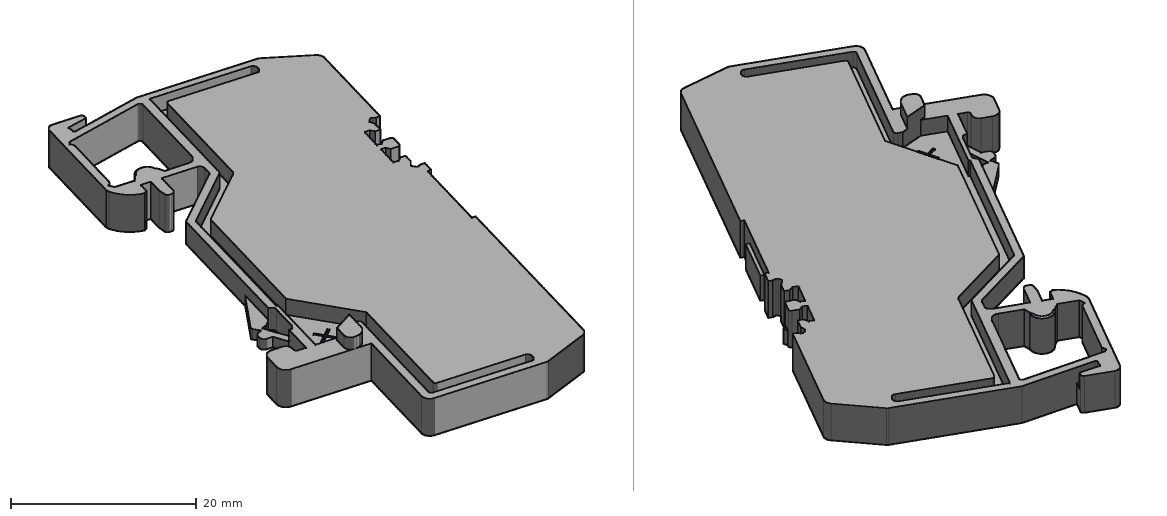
import cadquery as cq
import math

length = 64.4
width = 32.5
plate_height = 4.95
total_height = 6.6

rail_recess_height = 2.0
clip_top = 3.4
groove_floor = 2.85
cross_depth = 0.2

bevel_run = 2.7
bevel_drop = 6.25
shoulder_y = 11.3
belly_y = 4.7
belly_left = 22.75
belly_slope_height = shoulder_y - belly_y

groove_left = 0.9
groove_right = 63.45
groove_width = 1.35
groove_end_y = 25.3
groove_shoulder_y = 12.3
groove_belly_y = 5.65
island_left = groove_left + groove_width
island_right = groove_right - groove_width
island_shoulder_y = 13.6
island_belly_y = 7.2
island_belly_left = 23.7
island_belly_right = 40.5
island_slope_run = island_shoulder_y - island_belly_y

foot_top = 4.6
arm_outer_top_y = 11.2
arm_outer_end_x = 1.75
arm_slope = arm_outer_end_x / (arm_outer_top_y - foot_top)
foot_slot_width = 1.0
foot_slot_bottom = 2.2
stem_left = 13.4
stem_right = 14.4
finger_tip = 17.5
finger_top = 6.3
finger_bottom = 4.95
hook_top = 3.75
hook_right = 16.0
window_floor = 1.0
window_top = 11.15
arm_width = 1.0
bump_left = 11.45
bump_y = 5.4
bump_radius = 1.4
bump_root_height = 3.75
bump_chamfer = 0.2

post_left = 49.5
post_right = 52.2
post_bottom = 0.2
post_toe_left = 48.1
post_toe_top = 3.35
gusset_left = 47.9
gusset_top = 11.35
gusset_bottom = 8.9
gusset_slope = (post_left - gusset_left) / (gusset_top - gusset_bottom)
peg_front = 8.3
peg_back = 10.7

relief_left = 41.15
relief_right = 45.7
relief_top = 5.35

lug_x = 20.75
lug_gap_floor = 29.6
lug_top = 31.8
label_left = 27.2
label_right = 37.0
label_depth = 0.45
label_pad_left = 28.9
label_pad_right = 34.85


def prism(corners, bottom, top):
    """Extrude a closed outline; a corner (x, y, r) is rounded with radius r."""
    stretches = []
    for index, corner in enumerate(corners):
        x, y = corner[:2]
        if len(corner) == 2:
            stretches.append([(x, y)])
            continue
        previous = corners[index - 1]
        following = corners[(index + 1) % len(corners)]
        into = math.atan2(previous[1] - y, previous[0] - x)
        out = math.atan2(following[1] - y, following[0] - x)
        half_turn = math.acos(math.cos(out - into)) / 2
        radius = corner[2]
        setback = radius / math.tan(half_turn)
        middle = math.atan2(math.sin(into) + math.sin(out), math.cos(into) + math.cos(out))
        reach = radius / math.sin(half_turn) - radius
        stretches.append([
            (x + setback * math.cos(into), y + setback * math.sin(into)),
            (x + reach * math.cos(middle), y + reach * math.sin(middle)),
            (x + setback * math.cos(out), y + setback * math.sin(out)),
        ])
    path = cq.Workplane("XY").workplane(offset=bottom).moveTo(*stretches[0][-1])
    for stretch in stretches[1:] + stretches[:1]:
        path = path.lineTo(*stretch[0])
        if len(stretch) > 1:
            path = path.threePointArc(stretch[1], stretch[2])
    return path.close().extrude(top - bottom)


def plate_prism(corners):
    """Extrude an outline over the whole plate height."""
    return prism(corners, 0, plate_height)


def make_housing():
    return plate_prism([
        (bevel_run, width, 0.95),
        (0, width - bevel_drop, 0.65),
        (0, shoulder_y),
        (belly_left - belly_slope_height, shoulder_y),
        (belly_left, belly_y),
        (post_right, belly_y),
        (post_right, shoulder_y),
        (length, shoulder_y, 1.0),
        (length, width - bevel_drop, 0.65),
        (length - bevel_run, width, 0.95),
    ])


def make_left_foot():
    """Outer shape of the left foot, with its finger and its hook."""
    frame = plate_prism([
        (0, island_shoulder_y),
        (0, arm_outer_top_y),
        (arm_outer_end_x, foot_top),
        (0, foot_top, 0.3),
        (0, 0, 0.85),
        (stem_left, 0),
        (stem_left, hook_top),
        (stem_right, hook_top),
        (stem_right, shoulder_y),
        (belly_left - belly_slope_height, shoulder_y),
        (belly_left - belly_slope_height, island_shoulder_y),
    ])
    finger = plate_prism([
        (stem_left, finger_top),
        (finger_tip, finger_top, 0.5),
        (finger_tip, finger_bottom + 0.25, 0.4),
        (stem_right + 1.8, finger_bottom),
        (stem_left, finger_bottom),
    ])
    hook_start = stem_right - 0.95
    hook = (
        cq.Workplane("XY")
        .moveTo(stem_left, 0)
        .lineTo(hook_start, 0)
        .lineTo(hook_start + 0.4, 0.1)
        .threePointArc((hook_right - 0.6, hook_top - 2.05), (hook_right, hook_top - 0.4))
        .lineTo(hook_right - 0.25, hook_top)
        .lineTo(stem_left, hook_top)
        .close()
        .extrude(plate_height)
    )
    fillet_radius = 0.6
    fillet_leg = fillet_radius + 0.05
    shoulder_fillet = plate_prism([
        (stem_left, shoulder_y + fillet_leg),
        (stem_left, shoulder_y - fillet_leg),
        (stem_right, shoulder_y - fillet_leg),
        (stem_right, shoulder_y, fillet_radius),
        (stem_right + fillet_leg, shoulder_y),
        (stem_right + fillet_leg, shoulder_y + fillet_leg),
    ])
    return frame.union(hook).union(finger).union(shoulder_fillet)


def make_window():
    """Opening of the left foot, with small reliefs in its lower corners."""
    arm_x_at_floor = arm_width + arm_slope * (shoulder_y - window_floor)
    corner_relief = 0.4
    return plate_prism([
        (arm_width, window_top, 0.3),
        (arm_x_at_floor, window_floor - 0.1),
        (arm_x_at_floor + 0.3, window_floor - corner_relief),
        (arm_x_at_floor + 0.8, window_floor),
        (stem_left - 0.95, window_floor),
        (stem_left - 0.6, window_floor - corner_relief),
        (stem_left, window_floor + 0.05),
        (stem_left, window_top, 0.95),
    ])


def make_bump():
    """Rounded stop on the upright wall, chamfered at the top, with a wider root."""
    bump_x = bump_left + bump_radius
    nose = (
        cq.Workplane("XY")
        .center(bump_x, bump_y)
        .circle(bump_radius)
        .extrude(plate_height)
        .faces(">Z")
        .chamfer(bump_chamfer)
    )
    half_root = bump_root_height / 2
    root_overlap = 0.1
    root = plate_prism([
        (bump_x - 0.4, bump_y - bump_radius + root_overlap),
        (stem_left, bump_y - half_root),
        (stem_left + root_overlap, bump_y - half_root),
        (stem_left + root_overlap, bump_y + half_root),
        (stem_left, bump_y + half_root),
        (bump_x - 0.4, bump_y + bump_radius - root_overlap),
    ])
    return nose.union(root)


def make_foot_slot():
    """Blind slot that continues the outer face of the arm into the foot."""
    slot_end_x = arm_outer_end_x + arm_slope * (foot_top - foot_slot_bottom)
    return prism([
        (arm_outer_end_x, foot_top),
        (slot_end_x, foot_slot_bottom, 0.2),
        (slot_end_x - foot_slot_width, foot_slot_bottom - 0.1),
        (arm_outer_end_x - foot_slot_width, foot_top),
    ], groove_floor, plate_height)


def make_right_foot():
    return plate_prism([
        (post_left, island_shoulder_y),
        (post_left, post_toe_top, 0.3),
        (post_toe_left, post_toe_top, 0.85),
        (post_toe_left, post_bottom, 1.0),
        (post_right, post_bottom, 1.15),
        (post_right, island_shoulder_y),
    ])


def make_peg():
    """Raised block on the right foot; its left face continues the sloped web."""
    return prism([
        (gusset_left + gusset_slope * (gusset_top - peg_back), peg_back),
        (gusset_left + gusset_slope * (gusset_top - peg_front), peg_front),
        (post_right, peg_front, 0.8),
        (post_right, peg_back, 1.3),
    ], groove_floor, total_height)


def make_groove():
    """Groove between the rim and the raised island of the housing."""
    thin_rim_left = 41.1
    thin_rim_y = 5.85
    end_radius = 0.4 * groove_width
    groove_belly_left = 23.2
    groove_slope_run = groove_shoulder_y - groove_belly_y
    return prism([
        (groove_left, groove_end_y, end_radius),
        (groove_left, groove_shoulder_y),
        (groove_belly_left - groove_slope_run, groove_shoulder_y),
        (groove_belly_left, groove_belly_y),
        (thin_rim_left, groove_belly_y),
        (thin_rim_left, thin_rim_y),
        (post_left, thin_rim_y),
        (post_left, gusset_bottom),
        (gusset_left, gusset_top),
        (gusset_left, groove_shoulder_y, 0.4),
        (groove_right, groove_shoulder_y, 0.3),
        (groove_right, groove_end_y, end_radius),
        (island_right, groove_end_y, end_radius),
        (island_right, island_shoulder_y, 0.3),
        (island_belly_right + island_slope_run, island_shoulder_y),
        (island_belly_right, island_belly_y),
        (island_belly_left, island_belly_y),
        (island_belly_left - island_slope_run, island_shoulder_y, 0.5),
        (island_left, island_shoulder_y, 0.3),
        (island_left, groove_end_y, end_radius),
    ], groove_floor, plate_height)


def make_rail_recess():
    """Clearance below the groove floor, bounded by the wall of the island."""
    return prism([
        (stem_right, shoulder_y),
        (stem_right, island_shoulder_y),
        (island_belly_left - island_slope_run, island_shoulder_y, 0.5),
        (island_belly_left, island_belly_y),
        (island_belly_right, island_belly_y, 0.5),
        (island_belly_right + island_slope_run, island_shoulder_y, 0.5),
        (post_toe_left, island_shoulder_y),
        (post_toe_left, belly_y),
        (belly_left, belly_y),
        (belly_left - belly_slope_height, shoulder_y),
    ], 0, rail_recess_height)


def make_clip_relief():
    return plate_prism([
        (relief_left, belly_y - 0.65),
        (relief_left, relief_top, 0.5),
        (relief_right, relief_top, 0.5),
        (relief_right, belly_y - 0.65),
    ])


def make_clip():
    """Thin wedge and spring tongue joined by a narrow neck."""
    tip_y = 2.25
    wedge_left = 35.95
    wedge_tip = 41.65
    neck_x = 42.45
    neck_y = 3.2
    tongue_left = 42.95
    tongue_right = 44.1
    rim_overlap = 0.1
    return prism([
        (wedge_left, belly_y),
        (wedge_tip, tip_y, 0.25),
        (neck_x, neck_y - 0.2),
        (tongue_left, tip_y, 0.25),
        (tongue_right, tip_y, 0.6),
        (tongue_right, 3.6),
        (relief_right, belly_y),
        (relief_right, relief_top),
        (relief_right - 0.65, relief_top),
        (neck_x - 0.25, neck_y + 0.1),
        (neck_x - 0.5, neck_y + 0.8),
        (relief_left, belly_y),
        (relief_left - 0.3, belly_y + rim_overlap),
        (wedge_left + 0.1, belly_y + rim_overlap),
    ], rail_recess_height, clip_top)


def make_lug_gap():
    """Gap in the upper edge with two undercut sides around a mushroom lug."""
    mouth_half_width = 4.95
    floor_half_width = 3.2
    catch_half_width = 2.8
    catch_top = 31.35
    lug_half_width = 0.9
    lug_neck_half_width = 0.45
    left_side = [
        (-mouth_half_width, width),
        (-mouth_half_width, width - 0.5),
        (-mouth_half_width - 0.25, width - 1.0, 0.25),
        (-mouth_half_width + 0.25, catch_top - 0.4, 0.2),
        (-catch_half_width - 1.2, catch_top),
        (-catch_half_width, catch_top),
        (-catch_half_width, catch_top - 0.65),
        (-floor_half_width, lug_gap_floor + 0.65),
        (-floor_half_width, lug_gap_floor),
    ]
    left_of_lug = [
        (-lug_neck_half_width, lug_gap_floor),
        (-lug_neck_half_width, lug_gap_floor + 0.6),
        (-lug_half_width, lug_gap_floor + 0.95),
        (-lug_half_width, lug_top, 0.3),
    ]
    half = left_side + left_of_lug
    left_half = [(lug_x + corner[0], *corner[1:]) for corner in half]
    right_half = [(lug_x - corner[0], *corner[1:]) for corner in reversed(half)]
    return plate_prism(left_half + right_half)


def make_lug_tip():
    """Low pointed tip on top of the mushroom lug."""
    half_tip = 0.4
    return prism([
        (lug_x - half_tip, lug_top), (lug_x, lug_top + half_tip), (lug_x + half_tip, lug_top),
    ], 0, rail_recess_height)


def make_label_recess():
    """Shallow step in the upper edge, leaving a lower pad in its middle."""
    step_y = width - label_depth
    recess = plate_prism([
        (label_left, step_y), (label_right, step_y), (label_right, width), (label_left, width),
    ])
    pad = prism([
        (label_pad_left, step_y), (label_pad_right, step_y),
        (label_pad_right, width), (label_pad_left, width),
    ], 0, clip_top)
    return recess.cut(pad)


def make_cross():
    """Diagonal cross engraved in the groove floor."""
    cross_x = 46.0
    cross_y = 9.0
    bar_length = 2.6
    bar_width = 0.25
    cross = cq.Workplane("XY").box(bar_length, bar_width, cross_depth, centered=(True, True, False))
    cross = cross.union(cross.rotate((0, 0, 0), (0, 0, 1), 90))
    cross = cross.rotate((0, 0, 0), (0, 0, 1), 45)
    return cross.translate((cross_x, cross_y, groove_floor - cross_depth))


body = make_housing().union(make_left_foot()).union(make_right_foot())
openings = [
    make_window(), make_foot_slot(), make_groove(), make_rail_recess(), make_clip_relief(),
    make_lug_gap(), make_label_recess(), make_cross(),
]
for opening in openings:
    body = body.cut(opening)

additions = [make_bump(), make_clip(), make_peg(), make_lug_tip()]
for addition in additions:
    body = body.union(addition)

result = body